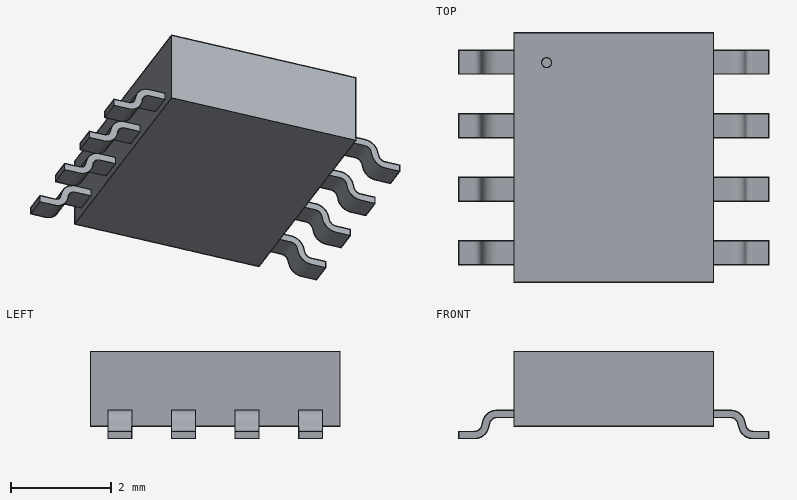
import cadquery as cq
import math

overall_length = 6.2
overall_height = 1.75
housing_length = 4.0
housing_width = 5.0
housing_height = 1.5
housing_bottom = overall_height - housing_height

leads_per_side = 4
lead_pitch = 1.27
lead_width = 0.485
lead_thickness = 0.15
lead_top = 0.57
foot_length = 0.315
bend_radius = 0.14
bend_angle = math.radians(75)

marker_diameter = 0.2
marker_depth = 0.1
marker_inset_x = 0.66
marker_inset_y = 0.6
marker_x = marker_inset_x - housing_length / 2
marker_y = housing_width / 2 - marker_inset_y


def make_marker():
    return (
        cq.Workplane("XY", origin=(marker_x, marker_y, overall_height - marker_depth))
        .circle(marker_diameter / 2)
        .extrude(marker_depth)
    )


def make_housing():
    block = (
        cq.Workplane("XY", origin=(0, 0, housing_bottom))
        .rect(housing_length, housing_width)
        .extrude(housing_height)
    )
    return block.cut(make_marker())


def lead_centreline():
    """Centreline of the lead on the -X side, from the foot tip to the housing wall."""
    radius = bend_radius + lead_thickness / 2
    foot_z = lead_thickness / 2
    shoulder_z = lead_top - lead_thickness / 2
    bend_run = radius * math.sin(bend_angle)
    bend_rise = radius * (1 - math.cos(bend_angle))
    mid_run = radius * math.sin(bend_angle / 2)
    mid_rise = radius * (1 - math.cos(bend_angle / 2))
    web_rise = shoulder_z - foot_z - 2 * bend_rise
    web_run = web_rise / math.tan(bend_angle)

    tip_x = -overall_length / 2
    foot_end_x = tip_x + foot_length
    shoulder_x = foot_end_x + 2 * bend_run + web_run
    return (
        cq.Workplane("XZ")
        .moveTo(tip_x, foot_z)
        .lineTo(foot_end_x, foot_z)
        .threePointArc(
            (foot_end_x + mid_run, foot_z + mid_rise),
            (foot_end_x + bend_run, foot_z + bend_rise),
        )
        .lineTo(shoulder_x - bend_run, shoulder_z - bend_rise)
        .threePointArc(
            (shoulder_x - mid_run, shoulder_z - mid_rise),
            (shoulder_x, shoulder_z),
        )
        .lineTo(-housing_length / 2, shoulder_z)
    )


def make_lead():
    """One lead on the -X side, centred on Y = 0."""
    return (
        cq.Workplane("YZ", origin=(-overall_length / 2, 0, lead_thickness / 2))
        .rect(lead_width, lead_thickness)
        .sweep(lead_centreline())
    )


def make_leads():
    left_lead = make_lead()
    right_lead = left_lead.mirror("YZ")
    leads = []
    for index in range(leads_per_side):
        lead_y = (index - (leads_per_side - 1) / 2) * lead_pitch
        for lead in (left_lead, right_lead):
            leads.append(lead.translate((0, lead_y, 0)).val())
    return leads


housing = make_housing()
marker = make_marker()
leads = make_leads()

result = cq.Compound.makeCompound([housing.val(), marker.val(), *leads])